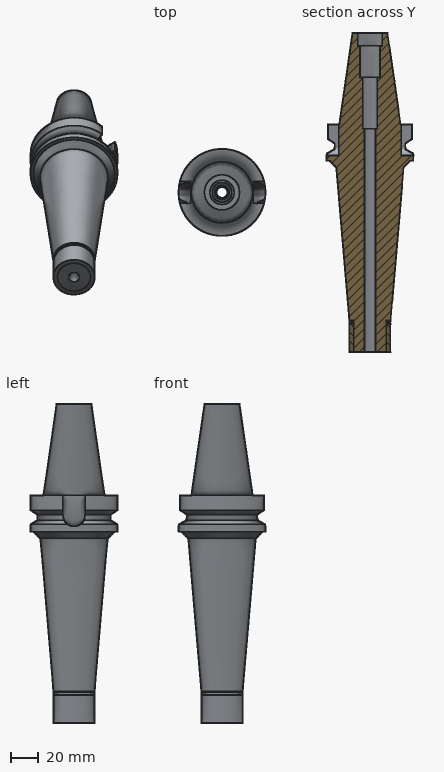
import cadquery as cq

TOTAL_HEIGHT = 230.5
GAUGE_Z = 165.0

TAPER_TOP_RADIUS = 12.7
TAPER_BASE_RADIUS = 22.1

FLANGE_RADIUS = 31.45
FLANGE_TOP_Z = GAUGE_Z - 0.7
GROOVE_TOP_Z = 153.7
GROOVE_BOTTOM_Z = 143.3
GROOVE_ROOT_RADIUS = 26.7
UPPER_FLANK_HEIGHT = 3.2
LOWER_FLANK_HEIGHT = 3.0
FLANGE_BOTTOM_Z = 138.0

SHOULDER_TOP_RADIUS = 29.3
SHOULDER_HEIGHT = 4.8
CONE_TOP_RADIUS = SHOULDER_TOP_RADIUS - SHOULDER_HEIGHT
CONE_BOTTOM_RADIUS = 15.0

COLLAR_RADIUS = CONE_BOTTOM_RADIUS
NECK_RADIUS = 12.0
NUT_HEIGHT = 20.5
RELIEF_HEIGHT = 0.5
RELIEF_DEPTH = 0.2
RING_HEIGHT = 1.5
RING_GAP = 0.7
CONE_BOTTOM_Z = NUT_HEIGHT + RING_HEIGHT + RING_GAP

MOUTH_RADIUS = 8.8
MOUTH_DEPTH = 9.5
THREAD_BORE_RADIUS = 7.1
THREAD_BORE_DEPTH = 32.3
CENTRE_BORE_RADIUS = 5.0
CENTRE_BORE_DEPTH = 69.1
COOLANT_BORE_RADIUS = 4.0

SLOT_WIDTH = 16.0
SLOT_FLOOR_X = 22.5
SLOT_BOTTOM_Z = 142.0


def bore(radius, depth):
    """Cylinder that reaches down from the top face."""
    return cq.Workplane("XY").workplane(offset=TOTAL_HEIGHT).circle(radius).extrude(-depth)


def drive_slot(side):
    """Round-bottomed slot cutter on the +X (side 1) or -X (side -1) flank."""
    half_width = SLOT_WIDTH / 2
    arc_z = SLOT_BOTTOM_Z + half_width
    return (
        cq.Workplane("YZ", origin=(side * SLOT_FLOOR_X, 0, 0))
        .moveTo(-half_width, GAUGE_Z)
        .lineTo(-half_width, arc_z)
        .threePointArc((0, SLOT_BOTTOM_Z), (half_width, arc_z))
        .lineTo(half_width, GAUGE_Z)
        .close()
        .extrude(side * FLANGE_RADIUS)
    )


def make_holder():
    """Turned holder with its neck, two drive slots and a stepped through bore."""
    profile = [
        (0, TOTAL_HEIGHT),
        (TAPER_TOP_RADIUS, TOTAL_HEIGHT),
        (TAPER_BASE_RADIUS, GAUGE_Z),
        (TAPER_BASE_RADIUS, FLANGE_TOP_Z),
        (FLANGE_RADIUS, FLANGE_TOP_Z),
        (FLANGE_RADIUS, GROOVE_TOP_Z),
        (GROOVE_ROOT_RADIUS, GROOVE_TOP_Z - UPPER_FLANK_HEIGHT),
        (GROOVE_ROOT_RADIUS, GROOVE_BOTTOM_Z + LOWER_FLANK_HEIGHT),
        (FLANGE_RADIUS, GROOVE_BOTTOM_Z),
        (FLANGE_RADIUS, FLANGE_BOTTOM_Z),
        (SHOULDER_TOP_RADIUS, FLANGE_BOTTOM_Z),
        (CONE_TOP_RADIUS, FLANGE_BOTTOM_Z - SHOULDER_HEIGHT),
        (CONE_BOTTOM_RADIUS, CONE_BOTTOM_Z),
        (NECK_RADIUS, CONE_BOTTOM_Z),
        (NECK_RADIUS, 0),
        (0, 0),
    ]
    body = cq.Workplane("XZ").polyline(profile).close().revolve(360, (0, 0), (0, 1))
    for side in (-1, 1):
        body = body.cut(drive_slot(side))
    body = body.cut(bore(MOUTH_RADIUS, MOUTH_DEPTH))
    body = body.cut(bore(THREAD_BORE_RADIUS, THREAD_BORE_DEPTH))
    body = body.cut(bore(CENTRE_BORE_RADIUS, CENTRE_BORE_DEPTH))
    return body.cut(bore(COOLANT_BORE_RADIUS, TOTAL_HEIGHT))


def make_collar(bottom_z, height, outer_radius):
    """Plain collar that fits around the neck."""
    return (
        cq.Workplane("XY")
        .workplane(offset=bottom_z)
        .circle(outer_radius)
        .circle(NECK_RADIUS)
        .extrude(height)
    )


def make_nut():
    """Sleeve nut with a shallow step under the ring."""
    step_z = NUT_HEIGHT - RELIEF_HEIGHT
    sleeve = make_collar(0, step_z, COLLAR_RADIUS)
    step = make_collar(step_z, RELIEF_HEIGHT, COLLAR_RADIUS - RELIEF_DEPTH)
    return sleeve.union(step)


def make_ring():
    """Flat ring resting on the nut."""
    return make_collar(NUT_HEIGHT, RING_HEIGHT, COLLAR_RADIUS)


holder = make_holder()
nut = make_nut()
ring = make_ring()

result = cq.Compound.makeCompound([holder.val(), nut.val(), ring.val()])